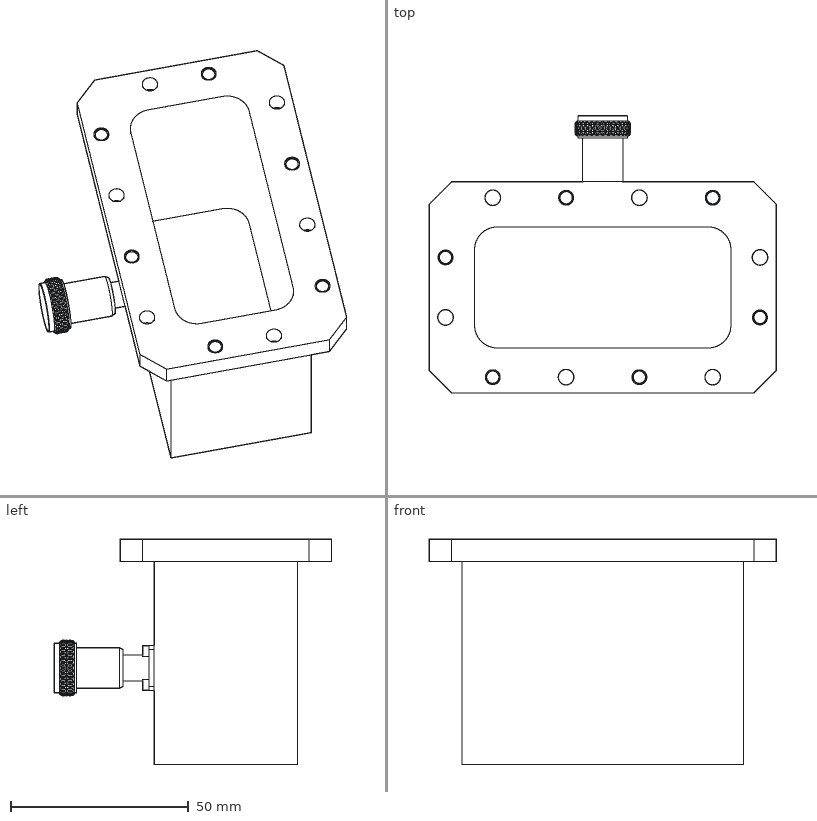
import cadquery as cq
import math

total_height = 63.5
cavity_x = 72.14
cavity_y = 34.04
cavity_corner_radius = 6.35
wall = 3.2
body_x = 79.25
body_y = cavity_y + 2 * wall
floor_thickness = wall

flange_x = 97.71
flange_y = 59.5
flange_thickness = 6.35
flange_corner_chamfer = 6.35
long_side_pitch = 20.63
long_side_row_y = 25.25
short_side_row_x = 44.25
short_side_pitch = 16.9
holes_per_long_side = 4
clearance_hole_diameter = 4.3
thread_major_diameter = 4.17
thread_minor_diameter = 3.45
thread_relief_depth = (thread_major_diameter - thread_minor_diameter) / 2

overall_y = 78.13
connector_z = 27.2
connector_tip_y = overall_y - flange_y / 2
neck_diameter = 7.37
barrel_diameter = 11.43
barrel_length = 19.5
barrel_chamfer_length = 1.0
barrel_chamfer_depth = 0.5
nut_core_diameter = 13.97
nut_length = 6.35
nut_tip_chamfer = 0.15
mount_plate_side = 12.7
mount_plate_thickness = 1.35
mount_plate_chamfer = 1.1
screw_head_diameter = 3.0
screw_head_height = 1.85
screw_offset = 4.8

knurl_diameter = 15.7
knurl_depth = 0.45
knurl_crest_trim = 0.1
knurl_start = 1.6
knurl_length = 4.2
knurl_teeth = 30
knurl_twist = 26.0
knurl_chamfer = 0.6


def make_body():
    body = cq.Workplane("XY").box(body_x, body_y, total_height, centered=(True, True, False))
    flange = (
        cq.Workplane("XY", origin=(0, 0, total_height - flange_thickness))
        .box(flange_x, flange_y, flange_thickness, centered=(True, True, False))
        .edges("|Z")
        .chamfer(flange_corner_chamfer)
    )
    return body.union(flange)


def make_cavity():
    depth = total_height - floor_thickness
    return (
        cq.Workplane("XY", origin=(0, 0, floor_thickness))
        .box(cavity_x, cavity_y, depth, centered=(True, True, False))
        .edges("|Z")
        .fillet(cavity_corner_radius)
    )


def flange_hole_points():
    """Return (clearance, threaded) centres; the two kinds alternate around the flange."""
    clearance = []
    threaded = []
    for i in range(holes_per_long_side):
        x = (i - (holes_per_long_side - 1) / 2) * long_side_pitch
        back, front = (x, long_side_row_y), (x, -long_side_row_y)
        if i % 2 == 0:
            clearance.append(back)
            threaded.append(front)
        else:
            threaded.append(back)
            clearance.append(front)
    for side in (-1, 1):
        clearance.append((side * short_side_row_x, side * short_side_pitch / 2))
        threaded.append((side * short_side_row_x, -side * short_side_pitch / 2))
    return clearance, threaded


def drill_holes(part, centres, diameter, depth):
    top = cq.Workplane("XY", origin=(0, 0, total_height))
    return part.cut(top.pushPoints(centres).circle(diameter / 2).extrude(-depth))


def drill_flange(part):
    clearance, threaded = flange_hole_points()
    part = drill_holes(part, clearance, clearance_hole_diameter, flange_thickness)
    part = drill_holes(part, threaded, thread_minor_diameter, flange_thickness)
    return drill_holes(part, threaded, thread_major_diameter, thread_relief_depth)


def connector_plane(y):
    """Plane normal to the connector axis at the given y, extruding toward -Y."""
    return cq.Workplane("XZ", origin=(0, y, connector_z))


def make_knurl_helix(twist):
    """Toothed cylinder whose V-shaped teeth turn by the given angle along the knurl."""
    points = []
    for i in range(2 * knurl_teeth):
        radius = knurl_diameter / 2 + knurl_crest_trim - (i % 2) * knurl_depth
        angle = math.pi * i / knurl_teeth
        points.append((radius * math.cos(angle), radius * math.sin(angle)))
    start_plane = connector_plane(connector_tip_y - knurl_start)
    return start_plane.polyline(points).close().twistExtrude(knurl_length, twist)


def make_knurl():
    """Crossed right- and left-hand teeth, trimmed by a chamfered cylinder."""
    envelope = (
        connector_plane(connector_tip_y - knurl_start)
        .circle(knurl_diameter / 2).extrude(knurl_length)
        .edges().chamfer(knurl_chamfer)
    )
    return envelope.intersect(make_knurl_helix(knurl_twist)).intersect(make_knurl_helix(-knurl_twist))


def make_connector():
    body_face_y = body_y / 2
    neck = connector_plane(connector_tip_y).circle(neck_diameter / 2).extrude(connector_tip_y - body_face_y)
    barrel = (
        connector_plane(connector_tip_y).circle(barrel_diameter / 2).extrude(barrel_length)
        .faces("<Y").chamfer(barrel_chamfer_length, barrel_chamfer_depth)
    )
    nut = (
        connector_plane(connector_tip_y).circle(nut_core_diameter / 2).extrude(nut_length)
        .faces(">Y").chamfer(nut_tip_chamfer)
    )
    plate_face_y = body_face_y + mount_plate_thickness
    plate = (
        connector_plane(plate_face_y).rect(mount_plate_side, mount_plate_side)
        .extrude(mount_plate_thickness).edges("|Y").chamfer(mount_plate_chamfer)
    )
    screws = (
        connector_plane(plate_face_y).rect(2 * screw_offset, 2 * screw_offset, forConstruction=True)
        .vertices().circle(screw_head_diameter / 2).extrude(-screw_head_height)
    )
    return neck.union(barrel).union(nut).union(make_knurl()).union(plate).union(screws)


result = drill_flange(make_body().cut(make_cavity())).union(make_connector())